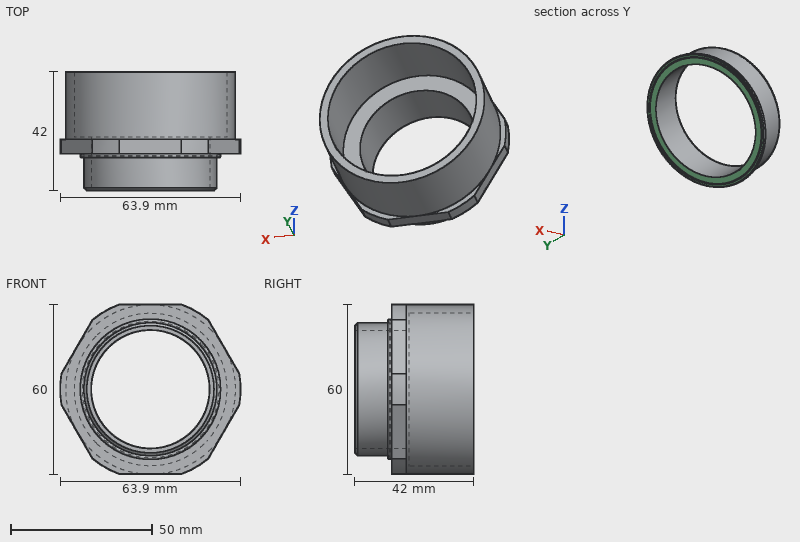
import math

import cadquery as cq

total_length = 42.0
body_diameter = 60.0
hex_across_flats = body_diameter
flange_diameter = 63.9
hex_thickness = 5.1
neck_diameter = 47.0
neck_length = 13.0
neck_chamfer = 1.0
bore_diameter = 41.8
socket_diameter = 54.0
socket_floor = 19.0
ring_outer_diameter = 49.65
ring_section_diameter = 1.35

hex_across_corners = hex_across_flats / math.cos(math.pi / 6)

hex_front = neck_length
hex_back = hex_front + hex_thickness
body_length = total_length - hex_back


def cylinder(diameter, start, length):
    """Cylinder about the Y axis, growing toward +Y from start."""
    plane = cq.Workplane("XZ", origin=(0, start, 0))
    return plane.circle(diameter / 2).extrude(-length)


def hex_flange():
    """Hexagon with flats at +Z and -Z, its corners turned down to a cylinder."""
    hexagon = (
        cq.Workplane("XZ", origin=(0, hex_front, 0))
        .polygon(6, hex_across_corners)
        .extrude(-hex_thickness)
    )
    return hexagon.intersect(cylinder(flange_diameter, hex_front, hex_thickness))


def neck():
    """Plain spigot with a chamfered free end."""
    return cylinder(neck_diameter, 0, hex_front).faces("<Y").edges().chamfer(neck_chamfer)


def sealing_ring():
    """Round-section ring resting on the neck and the front of the flange."""
    section_radius = ring_section_diameter / 2
    section_center_x = ring_outer_diameter / 2 - section_radius
    section_center_y = hex_front - section_radius
    section = cq.Workplane("XY").center(section_center_x, section_center_y).circle(section_radius)
    return section.revolve(360, (-section_center_x, 0, 0), (-section_center_x, 1, 0))


body = cylinder(body_diameter, hex_back, body_length)
bore = cylinder(bore_diameter, 0, total_length)
socket = cylinder(socket_diameter, socket_floor, total_length - socket_floor)
result = body.union(hex_flange()).union(neck()).union(sealing_ring()).cut(bore).cut(socket)